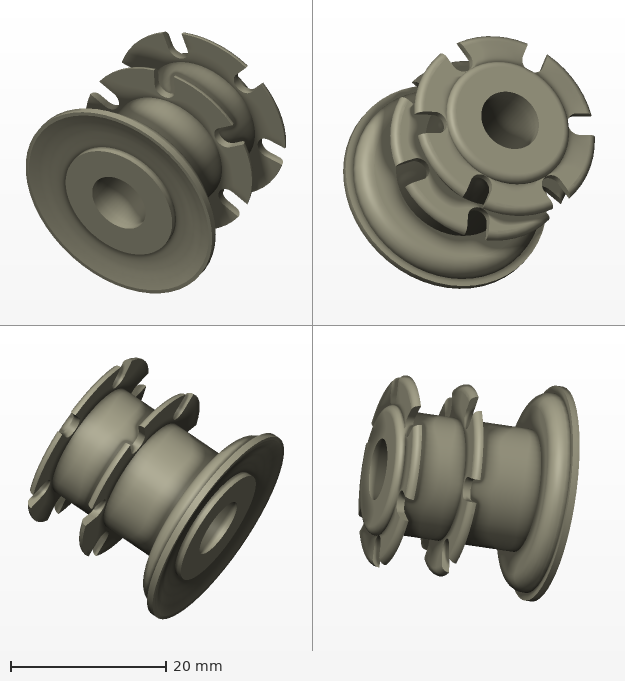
import cadquery as cq
import math

length = 22.82
bore_radius = 4.0
barrel_radius = 7.995

rim_radius = 14.0
rim_thickness = 0.9
flange_radius = 13.005
flange_depth = 3.3
flange_fillet = 2.0
dish_radius = 13.5
dish_depth = 0.95
dish_mid_radius = 10.55
dish_mid_depth = 0.78

lip_radius = 8.5
lip_thickness = 1.0

washer_radius = 12.502
washer_thickness = 1.0
washer_edge_radius = 0.98
slot_count = 6
slot_width = 3.0
slot_floor_radius = 8.5
rear_washer_start = length - lip_thickness - washer_thickness
middle_washer_start = 12.52
rear_washer_angle = 51.0
middle_washer_angle = 33.5


def revolve_about_y(profile):
    """Revolve a closed profile, drawn as (radius, Y) points, around the Y axis."""
    return profile.revolve(360, (0, 0, 0), (0, 1, 0))


def quarter_round_middle(center_radius, center_y, radius):
    """Middle point of a quarter round that faces outward and toward +Y."""
    reach = radius * math.sqrt(0.5)
    return center_radius + reach, center_y + reach


def make_spool():
    """Bored barrel with a dished flange at the front and a rounded lip at the rear."""
    fillet_start = flange_depth - flange_fillet
    fillet_center_radius = flange_radius - flange_fillet
    lip_start = length - lip_thickness
    lip_flat_radius = lip_radius - lip_thickness
    profile = (
        cq.Workplane("XY")
        .moveTo(bore_radius, 0)
        .lineTo(barrel_radius, 0)
        .lineTo(barrel_radius, dish_depth)
        .threePointArc((dish_mid_radius, dish_mid_depth), (dish_radius, 0))
        .lineTo(rim_radius, 0)
        .lineTo(rim_radius, rim_thickness)
        .lineTo(flange_radius, rim_thickness)
        .lineTo(flange_radius, fillet_start)
        .threePointArc(
            quarter_round_middle(fillet_center_radius, fillet_start, flange_fillet),
            (fillet_center_radius, flange_depth),
        )
        .lineTo(barrel_radius, flange_depth)
        .lineTo(barrel_radius, lip_start)
        .lineTo(lip_radius, lip_start)
        .threePointArc(
            quarter_round_middle(lip_flat_radius, lip_start, lip_thickness),
            (lip_flat_radius, length),
        )
        .lineTo(bore_radius, length)
        .close()
    )
    return revolve_about_y(profile)


def make_slot_cutter():
    """Round-bottomed radial slot along +X, reaching through the washer at Y = 0."""
    round_center = slot_floor_radius + slot_width / 2
    slot_length = washer_radius - round_center
    channel = (
        cq.Workplane("XZ")
        .center(round_center + slot_length / 2, 0)
        .rect(slot_length, slot_width)
        .extrude(-washer_thickness)
    )
    round_end = (
        cq.Workplane("XZ")
        .center(round_center, 0)
        .circle(slot_width / 2)
        .extrude(-washer_thickness)
    )
    return channel.union(round_end)


def make_washer(start, first_slot_angle):
    """Washer fitted on the barrel; slot angles turn from +X toward +Z."""
    edge_start = washer_thickness - washer_edge_radius
    edge_center_radius = washer_radius - washer_edge_radius
    profile = (
        cq.Workplane("XY")
        .moveTo(barrel_radius, 0)
        .lineTo(washer_radius, 0)
        .lineTo(washer_radius, edge_start)
        .threePointArc(
            quarter_round_middle(edge_center_radius, edge_start, washer_edge_radius),
            (edge_center_radius, washer_thickness),
        )
        .lineTo(barrel_radius, washer_thickness)
        .close()
    )
    washer = revolve_about_y(profile)
    cutter = make_slot_cutter()
    for index in range(slot_count):
        angle = first_slot_angle + index * 360 / slot_count
        washer = washer.cut(cutter.rotate((0, 0, 0), (0, 1, 0), -angle))
    return washer.translate((0, start, 0))


spool = make_spool()
washers = [
    make_washer(start, angle)
    for start, angle in (
        (middle_washer_start, middle_washer_angle),
        (rear_washer_start, rear_washer_angle),
    )
]

result = cq.Compound.makeCompound([spool.val(), *[washer.val() for washer in washers]])